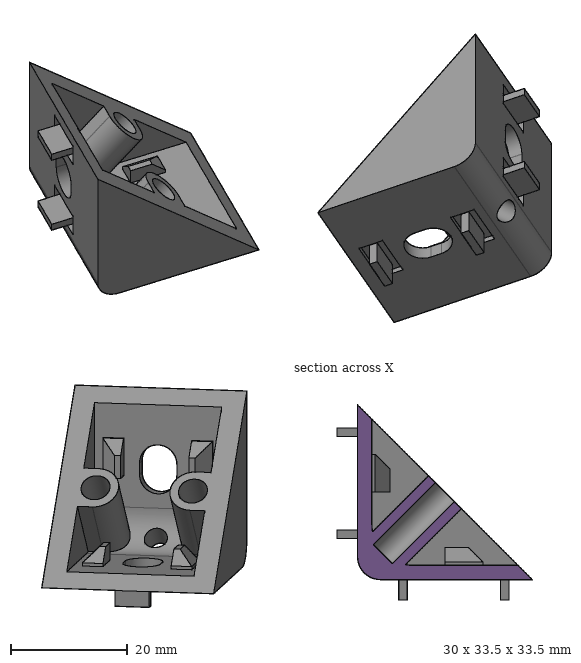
import cadquery as cq
import math


width = 30.0
leg = 30.0
wall = 2.5
outer_radius = 4.0

pocket_width = 22.2
inner_radius = 7.0

boss_spacing = 17.0
boss_diameter = 8.0
boss_hole_diameter = 5.0
boss_hole_depth = 15.0
corner_hole_diameter = 4.0

slot_width = 6.5
slot_length = 8.5
slot_center = 16.25

tab_width = 6.0
tab_thickness = 1.5
tab_height = 3.5
tab_centers = (7.8, 25.25)
recess_width = 8.0
recess_length = 4.5
recess_depth = 1.0

rib_inner_x = 5.95
rib_width = 3.6
rib_height = 3.05
rib_start = leg / 2
rib_end = 21.5
rib_chamfer = 2.5

slope_depth = leg / math.sqrt(2)


def wedge(size, start, radius, total_width):
    """Right triangular prism with its square corner at Y = Z = start, rounded there."""
    end = start + size
    prism = (
        cq.Workplane("YZ")
        .moveTo(start, start)
        .lineTo(end, start)
        .lineTo(start, end)
        .close()
        .extrude(total_width / 2, both=True)
    )
    corner = cq.selectors.NearestToPointSelector((0, start, start))
    return prism.edges("|X").edges(corner).fillet(radius)


def slope_plane(x):
    """Sketch plane on the middle of the sloped face, facing out, with its own X along the part's X."""
    return cq.Workplane(cq.Plane(origin=(x, leg / 2, leg / 2), xDir=(1, 0, 0), normal=(0, 1, 1)))


def box(x_range, y_range, z_range):
    """Box between the given limits."""
    sizes = [high - low for low, high in (x_range, y_range, z_range)]
    corner = (x_range[0], y_range[0], z_range[0])
    return cq.Workplane("XY").box(*sizes, centered=False).translate(corner)


def on_both_legs(front_feature):
    """Front leg feature together with its copy on the bottom leg."""
    swapped = front_feature.rotate((0, 0, 0), (1, 0, 0), 90).mirror("XZ")
    return front_feature.union(swapped)


def boss(side):
    """Screw boss with a round inner side, its flat sides running into the pocket's side wall."""
    x = side * boss_spacing / 2
    web = (width - boss_spacing) / 2
    barrel = slope_plane(x).circle(boss_diameter / 2).extrude(-slope_depth)
    flank = slope_plane(x + side * web / 2).rect(web, boss_diameter).extrude(-slope_depth)
    return barrel.union(flank)


def rib(side):
    """Front leg guide rib, bevelled on its outer side and upper end."""
    block = box(
        (rib_inner_x, rib_inner_x + rib_width),
        (0, wall + rib_height),
        (rib_start, rib_end),
    )
    block = block.faces(">Y").edges(">X or >Z").chamfer(rib_chamfer)
    return block if side > 0 else block.mirror("YZ")


def slot():
    """Mounting slot through the front leg."""
    return (
        cq.Workplane("XZ")
        .center(0, slot_center)
        .slot2D(slot_length, slot_width, 90)
        .extrude(-wall)
    )


def recess(z):
    """Shallow recess in the outer face of the front leg."""
    return box(
        (-recess_width / 2, recess_width / 2),
        (0, recess_depth),
        (z - recess_length / 2, z + recess_length / 2),
    )


def tab(z):
    """Tab rising from the recess floor past the front leg."""
    return box(
        (-tab_width / 2, tab_width / 2),
        (-tab_height, recess_depth),
        (z - tab_thickness / 2, z + tab_thickness / 2),
    )


outer = wedge(leg, 0, outer_radius, width)
pocket = wedge(leg - 2 * wall, wall, inner_radius, pocket_width)

fittings = boss(1).union(boss(-1))
for side in (1, -1):
    fittings = fittings.union(on_both_legs(rib(side)))

result = outer.cut(pocket).union(fittings.intersect(outer))

for side in (1, -1):
    boss_hole = slope_plane(side * boss_spacing / 2).circle(boss_hole_diameter / 2).extrude(-boss_hole_depth)
    result = result.cut(boss_hole)

corner_hole = slope_plane(0).circle(corner_hole_diameter / 2).extrude(-slope_depth)
result = result.cut(corner_hole).cut(on_both_legs(slot()))

for center in tab_centers:
    result = result.cut(on_both_legs(recess(center))).union(on_both_legs(tab(center)))